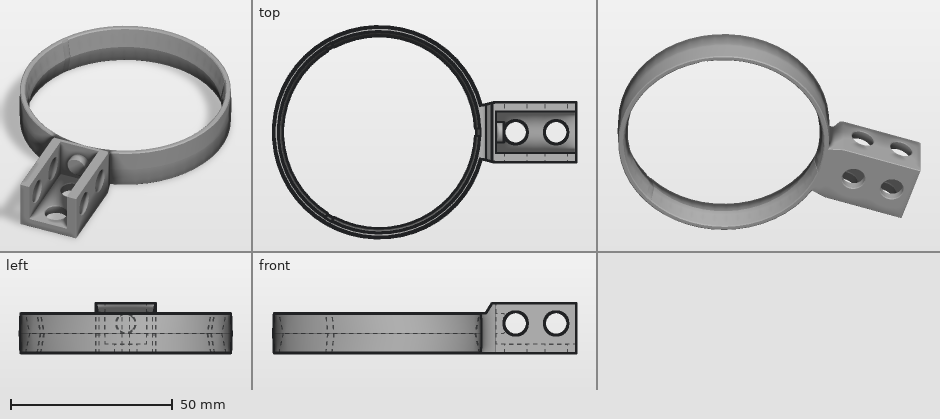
import cadquery as cq

RING_HEIGHT = 12.5
OUTER_CREST_RADIUS = 32.79
OUTER_RIM_RADIUS = 32.58
INNER_CREST_RADIUS = 29.65
INNER_RIM_RADIUS = 30.95
RIM_CHAMFER = 0.3

GROOVE_COUNT = 3
GROOVE_WIDTH = 2.2
GROOVE_DEPTH = 0.25
GROOVE_RIM_DEPTH = 0.35
GROOVE_FLARE_HEIGHT = 0.7

FORK_END_X = 60.96
FORK_START_X = 35.9
FORK_WIDTH = 18.8
FORK_HEIGHT = 15.62
FORK_CHAMFER = 0.2
SLOT_START_X = 36.1
SLOT_WIDTH = 12.7
FLOOR_THICKNESS = 3.0

NECK_INNER_X = 31.0
SLOPE_BOTTOM_X = 33.0
SLOPE_TOP_X = 34.9

HOLE_DIAMETER = 7.0
HOLE_CHAMFER = 0.25
HOLE_XS = (42.2, 54.7)
HOLE_Z = 9.3

BOSS_DIAMETER = 6.3
BOSS_LENGTH = 2.6
BOSS_CHAMFER = 0.3

MID_Z = RING_HEIGHT / 2
OVERLAP = 0.5


def make_ring():
    """Revolve the band section, with its rim edges chamfered."""
    top_chamfer_z = RING_HEIGHT - RIM_CHAMFER
    section = (
        cq.Workplane("XZ")
        .moveTo(INNER_RIM_RADIUS + RIM_CHAMFER, 0)
        .lineTo(OUTER_RIM_RADIUS - RIM_CHAMFER, 0)
        .lineTo(OUTER_RIM_RADIUS, RIM_CHAMFER)
        .lineTo(OUTER_CREST_RADIUS, MID_Z)
        .lineTo(OUTER_RIM_RADIUS, top_chamfer_z)
        .lineTo(OUTER_RIM_RADIUS - RIM_CHAMFER, RING_HEIGHT)
        .lineTo(INNER_RIM_RADIUS + RIM_CHAMFER, RING_HEIGHT)
        .lineTo(INNER_RIM_RADIUS, top_chamfer_z)
        .lineTo(INNER_CREST_RADIUS, MID_Z)
        .lineTo(INNER_RIM_RADIUS, RIM_CHAMFER)
        .close()
    )
    return section.revolve(360, (0, 0, 0), (0, 1, 0))


def make_groove_cutter():
    """Prism on the +X side that follows the inner wall and flares at both rims."""
    crest_x = INNER_CREST_RADIUS + GROOVE_DEPTH
    throat_x = INNER_RIM_RADIUS
    rim_x = throat_x + GROOVE_RIM_DEPTH
    inside_x = INNER_CREST_RADIUS - OVERLAP
    upper_throat_z = RING_HEIGHT - GROOVE_FLARE_HEIGHT
    profile = (
        cq.Workplane("XZ")
        .moveTo(inside_x, 0)
        .lineTo(rim_x, 0)
        .lineTo(throat_x, GROOVE_FLARE_HEIGHT)
        .lineTo(crest_x, MID_Z)
        .lineTo(throat_x, upper_throat_z)
        .lineTo(rim_x, RING_HEIGHT)
        .lineTo(inside_x, RING_HEIGHT)
        .close()
    )
    return profile.extrude(GROOVE_WIDTH / 2, both=True)


def make_bracket_blank():
    """Neck and fork in one solid: a plan outline trimmed by the side outline."""
    half_width = FORK_WIDTH / 2
    neck_half_width = half_width * NECK_INNER_X / FORK_START_X
    plan = (
        cq.Workplane("XY")
        .moveTo(NECK_INNER_X, -neck_half_width)
        .lineTo(FORK_START_X, -half_width)
        .lineTo(FORK_END_X, -half_width)
        .lineTo(FORK_END_X, half_width)
        .lineTo(FORK_START_X, half_width)
        .lineTo(NECK_INNER_X, neck_half_width)
        .close()
        .extrude(FORK_HEIGHT)
    )
    side = (
        cq.Workplane("XZ")
        .moveTo(NECK_INNER_X, 0)
        .lineTo(FORK_END_X, 0)
        .lineTo(FORK_END_X, FORK_HEIGHT)
        .lineTo(SLOPE_TOP_X, FORK_HEIGHT)
        .lineTo(SLOPE_BOTTOM_X, RING_HEIGHT)
        .lineTo(NECK_INNER_X, RING_HEIGHT)
        .close()
        .extrude(half_width, both=True)
    )
    blank = plan.intersect(side)
    return blank.faces(">X or >Z or <Z").edges().chamfer(FORK_CHAMFER)


def make_hole_cutter(depth):
    """Cylinder from z = 0 to depth that widens to a chamfer at both ends."""
    radius = HOLE_DIAMETER / 2
    mouth_radius = radius + HOLE_CHAMFER
    return (
        cq.Workplane("XZ")
        .moveTo(0, 0)
        .lineTo(mouth_radius, 0)
        .lineTo(radius, HOLE_CHAMFER)
        .lineTo(radius, depth - HOLE_CHAMFER)
        .lineTo(mouth_radius, depth)
        .lineTo(0, depth)
        .close()
        .revolve(360, (0, 0, 0), (0, 1, 0))
    )


def make_bracket():
    """Cut the slot and the bolt holes, then add the boss."""
    slot_length = FORK_END_X - SLOT_START_X + OVERLAP
    slot = cq.Workplane("XY").box(
        slot_length, SLOT_WIDTH, FORK_HEIGHT, centered=(False, True, False)
    )
    bracket = make_bracket_blank().cut(slot.translate((SLOT_START_X, 0, FLOOR_THICKNESS)))

    cheek_thickness = (FORK_WIDTH - SLOT_WIDTH) / 2
    floor_cutter = make_hole_cutter(FLOOR_THICKNESS)
    cheek_cutter = make_hole_cutter(cheek_thickness).rotate((0, 0, 0), (1, 0, 0), 90)
    for hole_x in HOLE_XS:
        bracket = bracket.cut(floor_cutter.translate((hole_x, 0, 0)))
        for start_y in (FORK_WIDTH / 2, -SLOT_WIDTH / 2):
            bracket = bracket.cut(cheek_cutter.translate((hole_x, start_y, HOLE_Z)))

    boss = (
        cq.Workplane("YZ", origin=(SLOT_START_X - OVERLAP, 0, HOLE_Z))
        .circle(BOSS_DIAMETER / 2)
        .extrude(BOSS_LENGTH + OVERLAP)
        .faces(">X")
        .edges()
        .chamfer(BOSS_CHAMFER)
    )
    return bracket.union(boss)


def trim_to_ring(bracket):
    """Remove the bracket material that would stick into the ring's bore."""
    trim_radius = (OUTER_RIM_RADIUS + INNER_RIM_RADIUS) / 2
    core = cq.Workplane("XY").circle(trim_radius).extrude(RING_HEIGHT)
    return bracket.cut(core)


result = make_ring().union(trim_to_ring(make_bracket()))
for index in range(GROOVE_COUNT):
    angle = index * 360 / GROOVE_COUNT
    result = result.cut(make_groove_cutter().rotate((0, 0, 0), (0, 0, 1), angle))